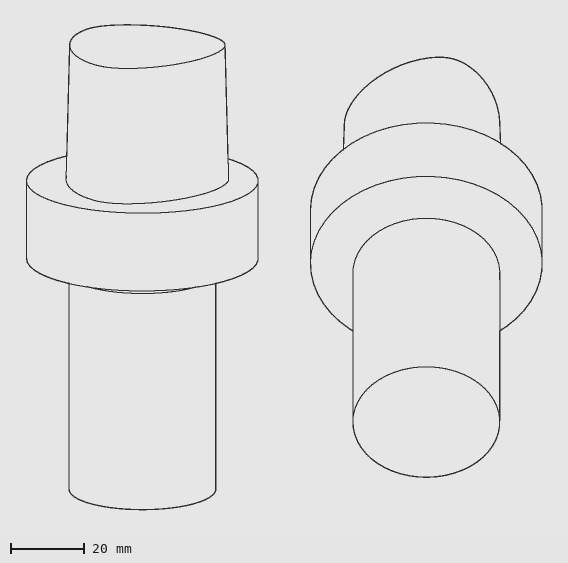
import cadquery as cq
import math

total_height = 128.0
polygon_length = 38.0
flange_thickness = 22.0
neck_length = 4.1
tip_height = 2.7
flange_top = total_height - polygon_length
flange_bottom = flange_top - flange_thickness
shank_top = flange_bottom - neck_length

flange_radius = 63.0 / 2
shank_radius = 40.0 / 2
tip_radius = 20.0 / 2
neck_angle = math.radians(30)
neck_fillet = 1.0

base_width = 44.2
taper_ratio = 1 / 20
top_width = base_width - polygon_length * taper_ratio
eccentricity = 1.4
curve_points = 48


def lobe_point(width, angle):
    """Point on a rounded constant-width triangle with one lobe toward -Y."""
    reach = width / 2 + eccentricity * math.cos(3 * angle)
    slope = -3 * eccentricity * math.sin(3 * angle)
    outward = reach * math.cos(angle) - slope * math.sin(angle)
    sideways = reach * math.sin(angle) + slope * math.cos(angle)
    return (sideways, -outward)


def lobed_wire(width, height):
    points = []
    for index in range(curve_points):
        x, y = lobe_point(width, 2 * math.pi * index / curve_points)
        points.append(cq.Vector(x, y, height))
    return cq.Wire.assembleEdges([cq.Edge.makeSpline(points, periodic=True)])


def make_polygon_taper():
    base = lobed_wire(base_width, flange_top)
    top = lobed_wire(top_width, total_height)
    return cq.Workplane(cq.Solid.makeLoft([base, top], True))


def make_turned_body():
    """Shank with conical tip, flared neck and flange, revolved about Z."""
    fillet_height = neck_fillet * (1 - math.sin(neck_angle))
    fillet_reach = neck_fillet * math.cos(neck_angle)
    cone_top = flange_bottom - fillet_height
    cone_radius = shank_radius + (cone_top - shank_top) * math.tan(neck_angle)
    return (
        cq.Workplane("XZ")
        .moveTo(0, 0)
        .lineTo(tip_radius, 0)
        .lineTo(shank_radius, tip_height)
        .lineTo(shank_radius, shank_top)
        .lineTo(cone_radius, cone_top)
        .tangentArcPoint((cone_radius + fillet_reach, flange_bottom), relative=False)
        .lineTo(flange_radius, flange_bottom)
        .lineTo(flange_radius, flange_top)
        .lineTo(0, flange_top)
        .close()
        .revolve(360, (0, 0, 0), (0, 1, 0))
    )


result = make_turned_body().union(make_polygon_taper())